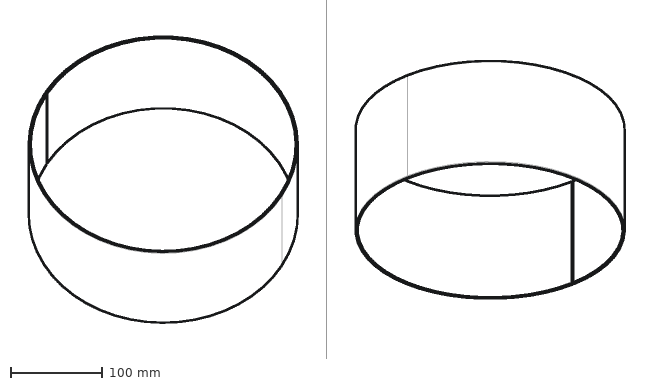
import cadquery as cq

outer_diameter = 295.0
height = 130.0
wall = 2.7
outer_bevel_height = 1.8
outer_bevel_depth = 0.53
inner_bevel_height = 1.0
inner_bevel_depth = 0.5
slit_cutter_depth = 4 * wall
slit_width = 2.7
slit_offset = slit_width / 2

outer_radius = outer_diameter / 2
inner_radius = outer_radius - wall
rim_outer_radius = outer_radius - outer_bevel_depth
rim_inner_radius = inner_radius + inner_bevel_depth


def make_ring():
    """Revolve the wall section, bevelled inside and outside at both rims."""
    section = (
        cq.Workplane("XZ")
        .moveTo(rim_inner_radius, 0)
        .lineTo(rim_outer_radius, 0)
        .lineTo(outer_radius, outer_bevel_height)
        .lineTo(outer_radius, height - outer_bevel_height)
        .lineTo(rim_outer_radius, height)
        .lineTo(rim_inner_radius, height)
        .lineTo(inner_radius, height - inner_bevel_height)
        .lineTo(inner_radius, inner_bevel_height)
        .close()
    )
    return section.revolve(360, (0, 0, 0), (0, 1, 0))


def make_slit():
    """Full-height cutter through the wall on the -X side only."""
    return (
        cq.Workplane("XY")
        .center(-outer_radius, slit_offset)
        .rect(slit_cutter_depth, slit_width)
        .extrude(height)
    )


result = make_ring().cut(make_slit())